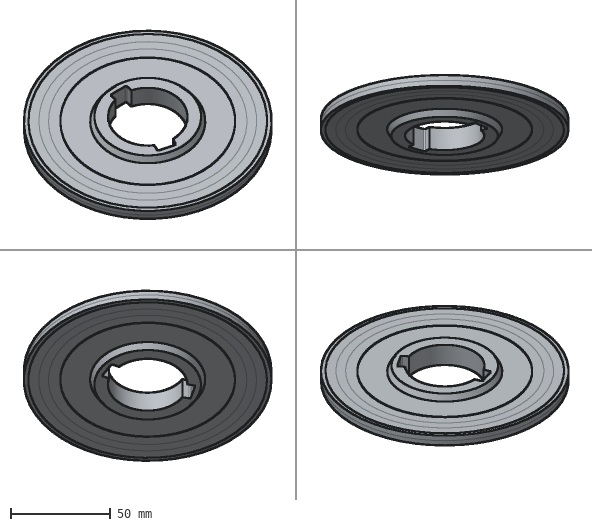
import cadquery as cq

wheel_radius = 62.5
rim_edge_draft = 0.07
rim_half_thickness = 2.93
rim_inner_radius = 60.1
slope_change_radius = 54.8
slope_change_height = 2.81
flat_outer_radius = 50.0
flat_height = 2.7
recess_radius = 88.0 / 2
recess_height = 2.5

hub_half_height = 12.0 / 2
hub_base_radius = 29.0
hub_face_radius = 26.9
bore_radius = 20.0

keyway_width = 10.2
keyway_reach = 23.5
keyway_corner_radius = 0.7
keyway_angles = (0, 195)

rim_edge_radius = wheel_radius - rim_edge_draft
outer_slope = (rim_half_thickness - slope_change_height) / (rim_edge_radius - slope_change_radius)
joint_height = slope_change_height + outer_slope * (rim_inner_radius - slope_change_radius)


def revolve_mirrored(upper_points):
    """Revolve a section about Z, given its upper half as (radius, height) points."""
    lower_points = [(radius, -height) for radius, height in reversed(upper_points) if height > 0]
    section = cq.Workplane("XZ").polyline(upper_points + lower_points).close()
    return section.revolve(360, (0, 0, 0), (0, 1, 0))


def make_keyway_cutter(angle):
    """Rounded bar from the axis out to the keyway floor, turned to its angle."""
    return (
        cq.Workplane("XY")
        .box(keyway_reach, keyway_width, 2 * hub_half_height, centered=(False, True, True))
        .edges("|Z and >X")
        .fillet(keyway_corner_radius)
        .rotate((0, 0, 0), (0, 0, 1), angle)
    )


def make_core():
    """Hubbed disc with a shallow recess on each face and a keyed bore."""
    core = revolve_mirrored([
        (bore_radius, hub_half_height),
        (hub_face_radius, hub_half_height),
        (hub_base_radius, recess_height),
        (recess_radius, recess_height),
        (recess_radius, flat_height),
        (flat_outer_radius, flat_height),
        (slope_change_radius, slope_change_height),
        (rim_inner_radius, joint_height),
    ])
    for angle in keyway_angles:
        core = core.cut(make_keyway_cutter(angle))
    return core


def make_rim_ring():
    """Outer ring around the core, with a blunt ridge on the mid-plane."""
    return revolve_mirrored([
        (rim_inner_radius, joint_height),
        (rim_edge_radius, rim_half_thickness),
        (wheel_radius, 0),
    ])


core = make_core()
rim_ring = make_rim_ring()
result = cq.Compound.makeCompound([core.val(), rim_ring.val()])